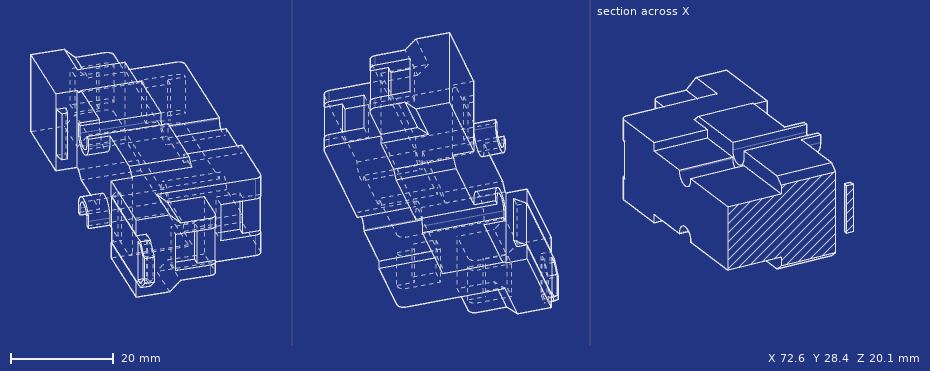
import cadquery as cq

TOTAL_LENGTH = 72.64
LENGTH = 67.56
DEPTH = 28.45
LOWER_DEPTH = 16.55
UPPER_LENGTH = 50.8
FLANGE_WIDTH = 17.3
UPPER_WIDTH = 13.7
TERMINAL_WIDTH = 12.9
CORNER_RADIUS = 1.4

RAIL_GAP = 35.5
RAIL_RECESS = 4.35
FOOT_DEPTH = 6.85

WIDE_BLOCK_START = 12.2

CENTRE_WIDTH = 20.07
CENTRE_TOP_START = -15.2
CENTRE_TOP_END = 15.7
BEVEL_LENGTH = 1.7

POCKET_WIDTH = 8.1
POCKET_HEIGHT = 8.5
POCKET_DEPTH = 1.45
WINDOW_TOP = 3.65
WINDOW_DEPTH = 3.1

SCREW_RADIUS = 2.2
SLEEVE_RADIUS = 3.3
CHANNEL_CENTRE_Z = 8.4

LATCH_WIDTH = 10.3
LATCH_BOTTOM = 0.1
LATCH_TOP = 2.1
HOOK_REACH = 2.0
HOOK_TIP_BOTTOM = 0.6
HOOK_TIP_TOP = 1.75
SLIDER_REACH = 2.1

LOOP_END = TOTAL_LENGTH - LENGTH / 2
LOOP_BEVEL_START = 36.25
LOOP_END_WIDTH = 5.6
OPENING_START = 34.55
OPENING_BEVEL_START = 36.1
OPENING_END = 37.85
OPENING_WIDTH = 8.6
OPENING_END_WIDTH = 5.2


def box(x_range, y_range, width):
    """Block between two X and two Y positions, centred on Z = 0."""
    x_start, x_end = x_range
    y_start, y_end = y_range
    return (
        cq.Workplane("XY")
        .box(x_end - x_start, y_end - y_start, width, centered=(False, False, True))
        .translate((x_start, y_start, 0))
    )


def across_width(points, width):
    """Prism with an XY outline, centred on Z = 0."""
    return cq.Workplane("XY").polyline(points).close().extrude(width / 2, both=True)


def along_depth(points, y_start, y_end):
    """Prism with an XZ outline between two Y positions."""
    plane = cq.Workplane("XZ", origin=(0, y_start, 0))
    return plane.polyline(points).close().extrude(y_start - y_end)


def terminal_tier(length, depth, width):
    """Full length tier with rounded outer corners."""
    tier = box((-length / 2, length / 2), (0, depth), width)
    return tier.edges("|Z and >Y").fillet(CORNER_RADIUS)


def lower_tier():
    """Lower terminals: narrow ends that widen through a 45 degree bevel to the feet."""
    bevel = (FLANGE_WIDTH - TERMINAL_WIDTH) / 2
    half_foot = FLANGE_WIDTH / 2
    half_terminal = TERMINAL_WIDTH / 2
    outline = [
        (0, -half_foot),
        (FOOT_DEPTH, -half_foot),
        (FOOT_DEPTH + bevel, -half_terminal),
        (FOOT_DEPTH + bevel, half_terminal),
        (FOOT_DEPTH, half_foot),
        (0, half_foot),
    ]
    feet = cq.Workplane("YZ").polyline(outline).close().extrude(LENGTH / 2, both=True)
    terminals = terminal_tier(LENGTH, LOWER_DEPTH, TERMINAL_WIDTH)
    core = box((-UPPER_LENGTH / 2, UPPER_LENGTH / 2), (0, LOWER_DEPTH), FLANGE_WIDTH)
    return terminals.union(feet).union(core)


def upper_tier():
    """Upper terminals: narrow tier, full flange width at the +X side."""
    wide = terminal_tier(UPPER_LENGTH, DEPTH, FLANGE_WIDTH)
    wide_part = box((WIDE_BLOCK_START, UPPER_LENGTH / 2), (LOWER_DEPTH, DEPTH), FLANGE_WIDTH)
    narrow = terminal_tier(UPPER_LENGTH, DEPTH, UPPER_WIDTH)
    return narrow.union(wide.intersect(wide_part))


def centre_block():
    """Widest part of the housing, bevelled towards both ends."""
    half_top = CENTRE_WIDTH / 2
    half_base = FLANGE_WIDTH / 2
    outline = [
        (CENTRE_TOP_START - BEVEL_LENGTH, -half_base),
        (CENTRE_TOP_START, -half_top),
        (CENTRE_TOP_END, -half_top),
        (CENTRE_TOP_END + BEVEL_LENGTH, -half_base),
        (CENTRE_TOP_END + BEVEL_LENGTH, half_base),
        (CENTRE_TOP_END, half_top),
        (CENTRE_TOP_START, half_top),
        (CENTRE_TOP_START - BEVEL_LENGTH, half_base),
    ]
    return along_depth(outline, RAIL_RECESS, LOWER_DEPTH)


def terminal_pockets(length, depth):
    """Shallow pocket with a deeper window, at both ends of a tier."""
    end = length / 2
    floor = depth - POCKET_HEIGHT
    pocket = box((-end, -end + POCKET_DEPTH), (floor, depth), POCKET_WIDTH)
    window = box((-end, -end + WINDOW_DEPTH), (floor, depth - WINDOW_TOP), POCKET_WIDTH)
    cutter = pocket.union(window)
    return cutter.union(cutter.mirror("YZ"))


def channel(radius, centre_z, y_start, y_end):
    """U-shaped prism along Y, round at the inside and open towards +Z."""
    open_z = CENTRE_WIDTH / 2
    return (
        cq.Workplane("XZ", origin=(0, y_start, 0))
        .moveTo(-radius, open_z)
        .lineTo(-radius, centre_z)
        .threePointArc((0, centre_z - radius), (radius, centre_z))
        .lineTo(radius, open_z)
        .close()
        .extrude(y_start - y_end)
    )


def both_sides(shape):
    """The shape together with its mirror image across Z = 0."""
    return shape.union(shape.mirror("XY"))


def fixed_hook():
    """Tapered hook on the -X foot."""
    root = -RAIL_GAP / 2
    tip = root + HOOK_REACH
    outline = [
        (root, LATCH_BOTTOM),
        (tip, HOOK_TIP_BOTTOM),
        (tip, HOOK_TIP_TOP),
        (root, LATCH_TOP),
    ]
    return across_width(outline, LATCH_WIDTH)


def sliding_latch():
    """Slider through the +X foot, with a wedge tip and a release loop."""
    root = RAIL_GAP / 2
    profile = [
        (root, LATCH_BOTTOM),
        (LOOP_END, LATCH_BOTTOM),
        (LOOP_END, LATCH_TOP),
        (root - SLIDER_REACH, LATCH_TOP),
    ]
    plan = [
        (0, -LATCH_WIDTH / 2),
        (LOOP_BEVEL_START, -LATCH_WIDTH / 2),
        (LOOP_END, -LOOP_END_WIDTH / 2),
        (LOOP_END, LOOP_END_WIDTH / 2),
        (LOOP_BEVEL_START, LATCH_WIDTH / 2),
        (0, LATCH_WIDTH / 2),
    ]
    opening = [
        (OPENING_START, -OPENING_WIDTH / 2),
        (OPENING_BEVEL_START, -OPENING_WIDTH / 2),
        (OPENING_END, -OPENING_END_WIDTH / 2),
        (OPENING_END, OPENING_END_WIDTH / 2),
        (OPENING_BEVEL_START, OPENING_WIDTH / 2),
        (OPENING_START, OPENING_WIDTH / 2),
    ]
    slider = across_width(profile, LATCH_WIDTH).intersect(along_depth(plan, 0, LATCH_TOP))
    return slider.cut(along_depth(opening, 0, LATCH_TOP))


def slider_groove():
    """Groove that leaves the slider face open on the bottom of the +X foot."""
    return box((RAIL_GAP / 2, LENGTH / 2), (0, LATCH_BOTTOM), LATCH_WIDTH)


housing = lower_tier().union(upper_tier())
housing = housing.cut(box((-RAIL_GAP / 2, RAIL_GAP / 2), (0, RAIL_RECESS), FLANGE_WIDTH))
housing = housing.union(centre_block())
housing = housing.cut(terminal_pockets(LENGTH, LOWER_DEPTH))
housing = housing.cut(terminal_pockets(UPPER_LENGTH, DEPTH))

tier_step = (FLANGE_WIDTH - UPPER_WIDTH) / 2
housing = housing.union(both_sides(channel(SLEEVE_RADIUS, CHANNEL_CENTRE_Z, 0, RAIL_RECESS)))
housing = housing.cut(both_sides(channel(SCREW_RADIUS, CHANNEL_CENTRE_Z, 0, DEPTH)))
upper_channel = channel(SCREW_RADIUS, CHANNEL_CENTRE_Z - tier_step, LOWER_DEPTH, DEPTH)
housing = housing.cut(both_sides(upper_channel))

housing = housing.cut(slider_groove())
result = housing.union(fixed_hook()).union(sliding_latch())